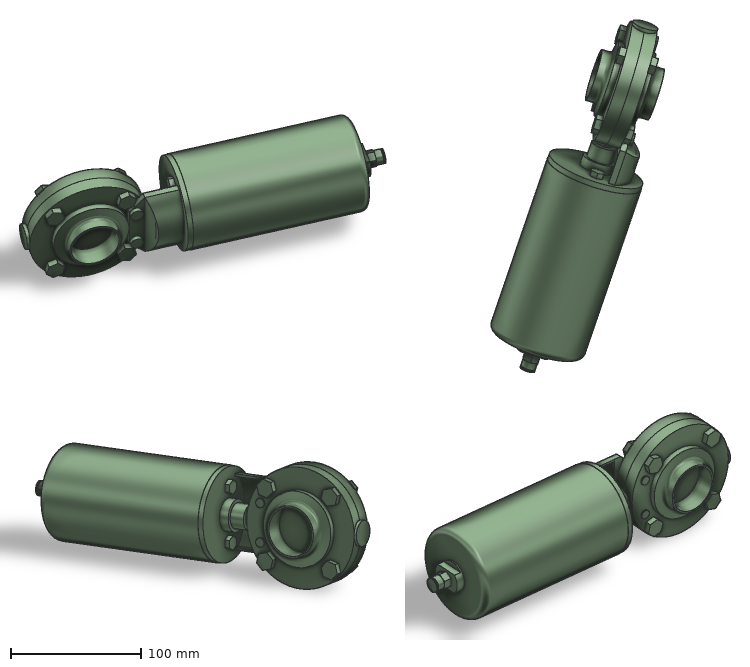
import cadquery as cq
import math


flange_radius = 48.0
flange_half_width = 10.0
hub_radius = 30.0
hub_end_x = 15.0
cone_end_x = 16.8
neck_round = 3.2
pipe_radius = 20.5
bore_radius = 19.0
pipe_end_x = 25.0

flange_bolt_circle_radius = 40.7
flange_bolt_flats = 13.0
flange_bolt_height = 5.2

disc_half_width = 9.5
stem_square = 8.0
stem_top_y = 51.0
plug_radius = flange_half_width
plug_end_y = -50.0

overall_length = 289
tip_end_y = plug_end_y + overall_length
actuator_radius = 38.0
front_cap_radius = 37.71
actuator_front_y = 70.5
front_cap_length = 4.3
actuator_back_y = 217.3
back_round = 5.5
boss_radius = 13.0
front_boss_length = 7.8
coupling_radius = 10.0
rear_boss_length = 7.5
rear_flat_length = 6.0
rear_flat_half_width = 8.5
fitting_flats = 11.8
fitting_length = 6.6
tip_radius = fitting_flats / 2
tip_lip_length = 1.0
tip_groove_width = 1.0
tip_groove_depth = 0.3
cap_screw_flats = 10.0
cap_screw_height = 4.3
cap_screw_z = 22.0

plate_thickness = 5.0
plate_inner_x = flange_half_width
plate_outer_x = plate_inner_x + plate_thickness
plate_half_width = 30.0
plate_chamfer_y = 42.8
plate_end_y = 30.3
guard_apex_x = 28.3
guard_tip_y = 49.7
pocket_half_width = 28.0
pocket_apex_x = 25.0
pocket_floor_y = 48.5
bracket_bolt_y = 35.5
bracket_bolt_z = 15.5
bracket_bolt_head_radius = 5.0
bracket_bolt_head_height = 3.5
bracket_bolt_tip_radius = 3.8
bracket_bolt_tip_height = 1.2


def cylinder_y(radius, start_y, end_y):
    """Cylinder on the Y axis between two stations."""
    return cq.Workplane("XZ", origin=(0, start_y, 0)).circle(radius).extrude(start_y - end_y)


def cylinder_x(radius, start_x, end_x, y=0, z=0):
    """Cylinder along X between two stations."""
    return cq.Workplane("YZ", origin=(start_x, y, z)).circle(radius).extrude(end_x - start_x)


def square_stem(start_y, end_y):
    """Square bar on the Y axis, its corners pointing along X and Z."""
    bar = cq.Workplane("XZ", origin=(0, start_y, 0)).transformed(rotate=(0, 0, 45))
    return bar.rect(stem_square, stem_square).extrude(start_y - end_y)


def hexagon_head(plane, flats, height):
    """Hexagonal prism with two corners on the local Y axis of its plane."""
    corner_diameter = flats / math.cos(math.radians(30))
    return cq.Workplane(plane).transformed(rotate=(0, 0, 90)).polygon(6, corner_diameter).extrude(height)


def flange_bolt_heads():
    heads = cq.Workplane("YZ")
    for angle in (45, 135, 225, 315):
        head = hexagon_head("YZ", flange_bolt_flats, flange_bolt_height)
        head = head.translate((flange_half_width, flange_bolt_circle_radius, 0))
        head = head.rotate((0, 0, 0), (1, 0, 0), angle)
        heads = heads.add(head)
    return heads


def valve_half():
    """Half of the valve body on the +X side: flange, hub, pipe end and bolt heads."""
    profile = (
        cq.Workplane("XY")
        .moveTo(0, bore_radius)
        .lineTo(0, flange_radius)
        .lineTo(flange_half_width, flange_radius)
        .lineTo(flange_half_width, hub_radius)
        .lineTo(hub_end_x, hub_radius)
        .lineTo(cone_end_x, pipe_radius)
        .lineTo(pipe_end_x, pipe_radius)
        .lineTo(pipe_end_x, bore_radius)
        .close()
    )
    half = profile.revolve(360, (0, 0, 0), (1, 0, 0))
    neck_corner = cq.selectors.NearestToPointSelector((cone_end_x, 0, 0))
    half = half.edges("%CIRCLE").edges(neck_corner).fillet(neck_round)
    for head in flange_bolt_heads().vals():
        half = half.union(cq.Workplane(head))
    return half.cut(square_stem(-flange_radius, flange_radius))


def bracket_bolt_tips():
    tips = []
    for z in (-bracket_bolt_z, bracket_bolt_z):
        tip_end_x = -flange_half_width - bracket_bolt_tip_height
        tips.append(cylinder_x(bracket_bolt_tip_radius, -flange_half_width, tip_end_x, bracket_bolt_y, z))
    return tips


def make_disc():
    """Closed disc in the bore, its stem up to the actuator, and the plug at the bottom."""
    plug = cylinder_y(plug_radius, plug_end_y, 0).cut(
        cylinder_x(flange_radius, -flange_half_width, flange_half_width)
    )
    stem = square_stem(-flange_radius, stem_top_y)
    return cylinder_x(bore_radius, -disc_half_width, disc_half_width).union(stem).union(plug)


def make_actuator():
    back_y = actuator_back_y
    cap_end_y = actuator_front_y + front_cap_length
    body = cylinder_y(actuator_radius, cap_end_y, back_y).faces(">Y").edges().fillet(back_round)
    body = body.union(cylinder_y(front_cap_radius, actuator_front_y, cap_end_y))

    boss_front_y = actuator_front_y - front_boss_length
    body = body.union(cylinder_y(boss_radius, boss_front_y, actuator_front_y))
    body = body.union(cylinder_y(coupling_radius, stem_top_y, boss_front_y))

    for z in (-cap_screw_z, cap_screw_z):
        head = hexagon_head("XZ", cap_screw_flats, cap_screw_height)
        body = body.union(head.translate((0, actuator_front_y, z)))

    boss_back_y = back_y + rear_boss_length
    boss = cylinder_y(boss_radius, back_y, boss_back_y)
    flats = cq.Workplane("XY").box(2 * boss_radius, rear_flat_length, 2 * rear_flat_half_width)
    flats = flats.translate((0, boss_back_y - rear_flat_length / 2, 0))
    round_base = cylinder_y(boss_radius, back_y, boss_back_y - rear_flat_length)
    body = body.union(boss.intersect(flats)).union(round_base)

    fitting_end_y = boss_back_y + fitting_length
    fitting = hexagon_head("XZ", fitting_flats, fitting_length).translate((0, fitting_end_y, 0))
    return body.union(fitting).union(fitting_tip(fitting_end_y))


def fitting_tip(start_y):
    """Round end of the fitting with a shallow groove behind its lip."""
    groove_end_y = tip_end_y - tip_lip_length
    groove_start_y = groove_end_y - tip_groove_width
    tip = cylinder_y(tip_radius, start_y, groove_start_y)
    tip = tip.union(cylinder_y(tip_radius - tip_groove_depth, groove_start_y, groove_end_y))
    return tip.union(cylinder_y(tip_radius, groove_end_y, tip_end_y))


def bowed_block(half_width, apex_x, start_x, end_y):
    """Block under a bowed outline, from end_y up to the actuator."""
    return (
        cq.Workplane("XZ", origin=(0, end_y, 0))
        .moveTo(start_x, -half_width)
        .lineTo(plate_outer_x, -half_width)
        .threePointArc((apex_x, 0), (plate_outer_x, half_width))
        .lineTo(start_x, half_width)
        .close()
        .extrude(end_y - actuator_front_y)
    )


def make_bracket():
    chamfer = plate_chamfer_y - plate_end_y
    end_half_width = plate_half_width - chamfer
    plate = (
        cq.Workplane("YZ", origin=(plate_inner_x, 0, 0))
        .polyline([
            (actuator_front_y, -plate_half_width),
            (plate_chamfer_y, -plate_half_width),
            (plate_end_y, -end_half_width),
            (plate_end_y, end_half_width),
            (plate_chamfer_y, plate_half_width),
            (actuator_front_y, plate_half_width),
        ])
        .close()
        .extrude(plate_thickness)
    )
    slope = (
        cq.Workplane("XY", origin=(0, 0, -plate_half_width))
        .polyline([
            (plate_outer_x, actuator_front_y),
            (plate_outer_x, plate_chamfer_y),
            (guard_apex_x, guard_tip_y),
            (guard_apex_x, actuator_front_y),
        ])
        .close()
        .extrude(2 * plate_half_width)
    )
    guard = bowed_block(plate_half_width, guard_apex_x, plate_inner_x, plate_chamfer_y).intersect(slope)
    bracket = plate.union(guard)
    bracket = bracket.cut(bowed_block(pocket_half_width, pocket_apex_x, plate_inner_x, pocket_floor_y))
    for z in (-bracket_bolt_z, bracket_bolt_z):
        head_end_x = plate_outer_x + bracket_bolt_head_height
        head = cylinder_x(bracket_bolt_head_radius, plate_outer_x, head_end_x, bracket_bolt_y, z)
        bracket = bracket.union(head)
    return bracket


right_half = valve_half()
left_half = right_half.mirror("YZ")
for tip in bracket_bolt_tips():
    left_half = left_half.union(tip)
disc = make_disc()
actuator = make_actuator()
bracket = make_bracket()

result = cq.Compound.makeCompound([
    left_half.val(),
    right_half.val(),
    disc.val(),
    actuator.val(),
    bracket.val(),
])